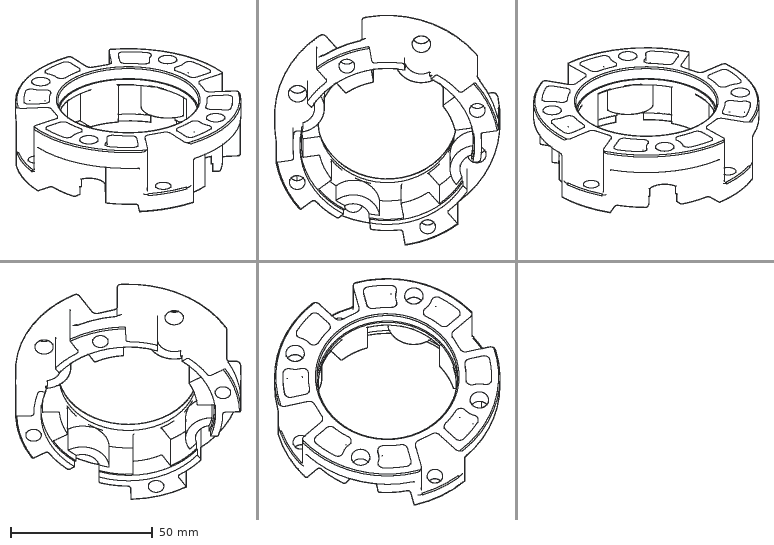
import cadquery as cq
import math

outer_radius = 40.0
height = 24.5
rim_chamfer = 0.5
bore_radius = 24.5
seat_radius = 25.0
seat_floor_z = 20.0
edge_radius = 0.5
rabbet_radius = 31.0
rabbet_height = 3.0

repeat_count = 4
repeat_angle = 360.0 / repeat_count
first_diagonal = repeat_angle / 2
web_half_angle = 15.0
sector_half_angle = first_diagonal - web_half_angle
web_thickness = 3.0

foot_height = 7.0
slot_back = 28.0
slot_corner_radius = 2.0
slot_mouth_radius = 2.0
foot_hole_diameter = 5.5
foot_hole_center = 35.0

flange_underside_z = 17.5
recess_radius = 33.5
recess_corner_radius = 1.0

bolt_center = 34.0
bolt_hole_diameter = 6.5
bolt_access_radius = 6.0
boss_radius = bolt_center - bore_radius
boss_bottom_z = 6.0

cavity_radius = recess_radius - web_thickness
cavity_side_wall = 2.0

pocket_depth = 3.6
pocket_inner_radius = 28.0
pocket_outer_radius = 37.0
pocket_hole_clearance = 6.5
pocket_corner_radius = 2.0
pocket_floor_radius = 1.9

far = 60.0
tolerance = 0.01
corner_margin = 0.5


def cylinder(radius, bottom, top, center_x=0.0):
    return cq.Workplane("XY", origin=(center_x, 0, bottom)).circle(radius).extrude(top - bottom)


def wedge(half_angle, offset, bottom, top):
    """Wedge about +X whose flanks are radial lines moved outward by offset."""
    half_angle_rad = math.radians(half_angle)
    apex = -offset / math.sin(half_angle_rad)
    half_width = (far - apex) * math.tan(half_angle_rad)
    outline = [(apex, 0), (far, -half_width), (far, half_width)]
    return cq.Workplane("XY", origin=(0, 0, bottom)).polyline(outline).close().extrude(top - bottom)


def ring_sector(offset, inner, outer, bottom, top):
    """Sector of a ring centred on +X, reaching from one web to the next."""
    ring = cylinder(outer, bottom, top).cut(cylinder(inner, bottom, top))
    return ring.intersect(wedge(sector_half_angle, offset, bottom, top))


def around(shape, start_angle):
    """Copies of a shape made about +X, one per repeat around the Z axis."""
    copies = cq.Workplane("XY")
    for index in range(repeat_count):
        copies = copies.add(shape.rotate((0, 0, 0), (0, 0, 1), start_angle + index * repeat_angle))
    return [cq.Workplane(copy) for copy in copies.vals()]


def cut_around(body, tool, start_angle):
    for copy in around(tool, start_angle):
        body = body.cut(copy)
    return body


def edges_where(body, test):
    return body.newObject([edge for edge in body.edges().vals() if test(edge)])


def at_radius(edge, radius, margin=tolerance):
    middle = edge.positionAt(0.5)
    return abs(math.hypot(middle.x, middle.y) - radius) < margin


def at_height(edge, z):
    box = edge.BoundingBox()
    return abs(box.zmin - z) <= tolerance and abs(box.zmax - z) <= tolerance


def slot_tool():
    tool = wedge(web_half_angle, -web_thickness, foot_height, height)
    behind = cq.Workplane("XY", origin=(0, 0, foot_height)).rect(2 * slot_back, far).extrude(height)
    return tool.cut(behind).edges("|Z and <X").fillet(slot_corner_radius)


def slotted_ring():
    """Disc with four slots; a wide base lets the floor fillet run round the whole outline."""
    upper = cut_around(cylinder(outer_radius, foot_height, height), slot_tool(), 0)
    mouths = edges_where(upper.edges("|Z"), lambda edge: at_radius(edge, outer_radius))
    upper = mouths.fillet(slot_mouth_radius)

    wide_radius = outer_radius + 2 * slot_mouth_radius
    body = cylinder(wide_radius, 0, foot_height).union(upper)
    floor_outline = edges_where(
        body, lambda edge: at_height(edge, foot_height) and not at_radius(edge, wide_radius)
    )
    body = floor_outline.fillet(edge_radius)
    return body.intersect(cylinder(outer_radius, 0, height))


def recess_tool():
    sector = ring_sector(0, recess_radius, far, 0, flange_underside_z)
    tool = sector.union(cylinder(bolt_access_radius, 0, flange_underside_z, bolt_center))
    corners = edges_where(tool.edges("|Z"), lambda edge: at_radius(edge, recess_radius, corner_margin))
    tool = corners.fillet(recess_corner_radius)
    return tool.faces(">Z").edges().fillet(edge_radius)


def is_recess_rim(edge):
    """Edges where a recess breaks through the outer cylinder, without those of the feet and base."""
    top = edge.BoundingBox().zmax
    return at_radius(edge, outer_radius) and foot_height + 1 < top < flange_underside_z + tolerance


def foot_bevel_tool():
    """Thin ring segment that bevels the outer top edge of a foot."""
    bottom = foot_height - rim_chamfer
    core = cylinder(outer_radius, bottom, foot_height)
    core = core.faces(">Z").edges().chamfer(rim_chamfer - tolerance)
    ring = cylinder(far, bottom, foot_height).cut(core)
    return ring.intersect(wedge(web_half_angle, -web_thickness, 0, height))


def cavity_tool():
    offset = web_thickness - cavity_side_wall
    return ring_sector(offset, bore_radius / 2, cavity_radius, 0, flange_underside_z)


def is_cavity_arch(edge):
    """Edges where a cavity opens into the bore, without those on the end faces."""
    below_top = edge.BoundingBox().zmax < height - 1
    return at_radius(edge, bore_radius) and below_top and not at_height(edge, 0)


def boss_blank():
    blank = cylinder(boss_radius, boss_bottom_z, flange_underside_z + edge_radius, bolt_center)
    return blank.intersect(cylinder(recess_radius, 0, height))


def seat_tool():
    """Counterbore at the top of the bore, widened by a chamfer at the top face."""
    lead_in = cylinder(seat_radius + rim_chamfer, height - rim_chamfer, height)
    lead_in = lead_in.faces("<Z").edges().chamfer(rim_chamfer - tolerance)
    return cylinder(seat_radius, seat_floor_z, height).union(lead_in)


def pocket_tool(side):
    """Rounded pocket on one side of a bolt hole; side is -1 or 1."""
    floor_z = height - pocket_depth
    sector = ring_sector(0, pocket_inner_radius, pocket_outer_radius, floor_z, height)
    half = cq.Workplane("XY", origin=(0, side * far / 2, floor_z)).rect(2 * far, far).extrude(pocket_depth)
    clearance = cylinder(pocket_hole_clearance, floor_z, height, bolt_center)
    tool = sector.intersect(half).cut(clearance)
    tool = tool.edges("|Z").fillet(pocket_corner_radius)
    return tool.faces("<Z").edges().fillet(pocket_floor_radius)


body = slotted_ring()
body = cut_around(body, recess_tool(), first_diagonal)
body = edges_where(body, is_recess_rim).fillet(edge_radius)
body = body.intersect(cylinder(outer_radius, 0, height).edges().chamfer(rim_chamfer))
body = cut_around(body, foot_bevel_tool(), 0)

body = body.cut(cylinder(bore_radius, 0, height))
body = cut_around(body, cavity_tool(), first_diagonal)
body = edges_where(body, is_cavity_arch).fillet(edge_radius)

for boss in around(boss_blank(), first_diagonal):
    body = body.union(boss)
body = cut_around(body, recess_tool(), first_diagonal)

body = body.cut(seat_tool())
body = body.cut(cylinder(rabbet_radius, 0, rabbet_height))

for side in (-1, 1):
    body = cut_around(body, pocket_tool(side), first_diagonal)
bolt_hole = cylinder(bolt_hole_diameter / 2, 0, height, bolt_center)
body = cut_around(body, bolt_hole, first_diagonal)
foot_hole = cylinder(foot_hole_diameter / 2, 0, height, foot_hole_center)
body = cut_around(body, foot_hole, 0)

result = body